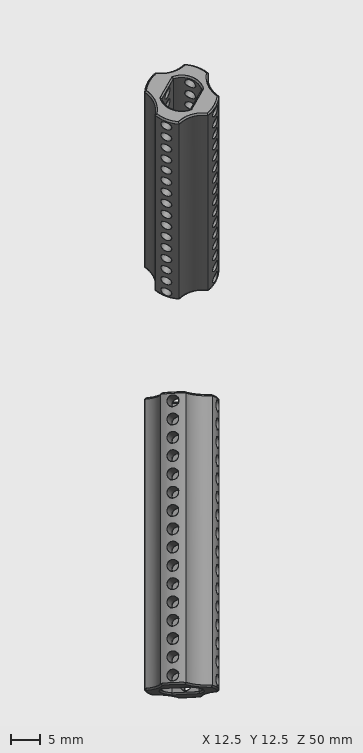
import cadquery as cq
import math

LENGTH = 50.0
OUTER_DIAMETER = 12.5
EDGE_CHAMFER = 0.3

LOBE_WIDTH = 4.45
FLUTE_RADIUS = 5.0

LOBE_CORNER_X = LOBE_WIDTH / 2
LOBE_CORNER_Y = math.sqrt((OUTER_DIAMETER / 2) ** 2 - LOBE_CORNER_X**2)
FLUTE_HALF_CHORD = (LOBE_CORNER_Y - LOBE_CORNER_X) / math.sqrt(2)
FLUTE_CHORD_DISTANCE = (LOBE_CORNER_Y + LOBE_CORNER_X) / math.sqrt(2)
FLUTE_AXIS_DISTANCE = FLUTE_CHORD_DISTANCE + math.sqrt(FLUTE_RADIUS**2 - FLUTE_HALF_CHORD**2)

BORE_DIAMETER = 7.0
BORE_FLAT_WIDTH = 5.25

HOLE_DIAMETER = 2.0
HOLE_COUNT = 16
HOLE_PITCH = LENGTH / HOLE_COUNT


def fluted_body():
    """Round bar with a flute on each diagonal, leaving four lobes."""
    body = cq.Workplane("XY").circle(OUTER_DIAMETER / 2).extrude(LENGTH)
    flutes = (
        cq.Workplane("XY")
        .polarArray(FLUTE_AXIS_DISTANCE, 45, 360, 4)
        .circle(FLUTE_RADIUS)
        .extrude(LENGTH)
    )
    return body.cut(flutes)


def flatted_bore():
    """Solid of the through bore, with flats on its X sides."""
    round_bore = cq.Workplane("XY").circle(BORE_DIAMETER / 2).extrude(LENGTH)
    flat_limits = cq.Workplane("XY").rect(BORE_FLAT_WIDTH, BORE_DIAMETER).extrude(LENGTH)
    return round_bore.intersect(flat_limits)


def cross_holes(plane):
    """Row of holes through the whole bar, along the normal of the plane ("XZ" or "YZ")."""
    return (
        cq.Workplane(plane)
        .center(0, LENGTH / 2)
        .rarray(HOLE_PITCH, HOLE_PITCH, 1, HOLE_COUNT)
        .circle(HOLE_DIAMETER / 2)
        .extrude(OUTER_DIAMETER, both=True)
    )


result = fluted_body().cut(flatted_bore())
result = result.faces("<Z or >Z").edges().chamfer(EDGE_CHAMFER)

for hole_plane in ("XZ", "YZ"):
    result = result.cut(cross_holes(hole_plane))